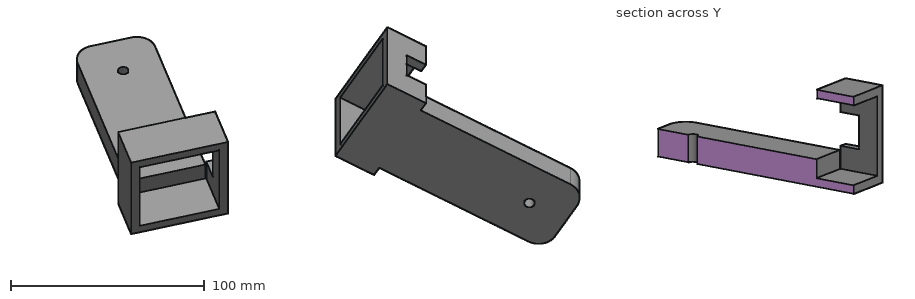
import cadquery as cq

total_length = 123.0
frame_side = 52.3

frame_depth = 23.2
wall = 4.8
notch_height = 18.1
notch_depth = frame_depth / 2

arm_width = 41.8
arm_thickness = 15.0
corner_radius = 10.0
hole_diameter = 5.4
hole_from_tip = 22.0

arm_length = total_length - frame_depth
opening_side = frame_side - 2 * wall


def make_arm():
    """Plate with its two free corners rounded and a through hole near the tip."""
    plate = cq.Workplane("XY").box(
        arm_length, arm_width, arm_thickness, centered=(False, True, False)
    )
    plate = plate.edges("|Z and <X").fillet(corner_radius)
    hole = (
        cq.Workplane("XY")
        .center(hole_from_tip, 0)
        .circle(hole_diameter / 2)
        .extrude(arm_thickness)
    )
    return plate.cut(hole)


def make_frame():
    """Square ring open along X, with a notch in the +Y wall facing the arm."""
    ring = (
        cq.Workplane("YZ", origin=(arm_length, 0, frame_side / 2))
        .rect(frame_side, frame_side)
        .rect(opening_side, opening_side)
        .extrude(frame_depth)
    )
    notch = cq.Workplane("XY").box(
        notch_depth, wall, notch_height, centered=(False, False, True)
    )
    return ring.cut(notch.translate((arm_length, opening_side / 2, frame_side / 2)))


result = make_arm().union(make_frame())